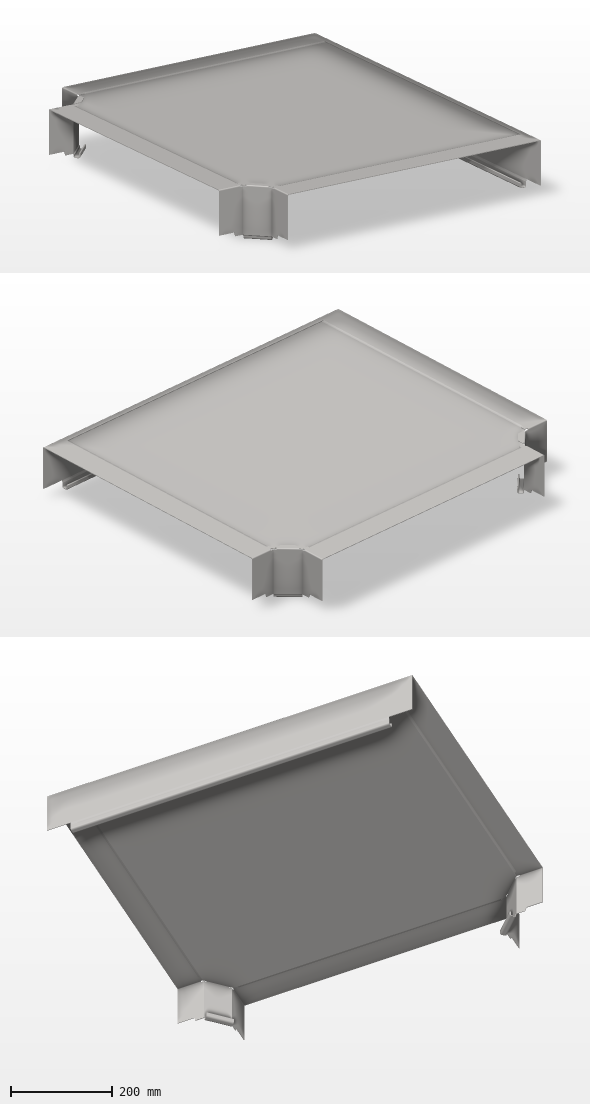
import cadquery as cq
import math

tray_length = 800.17
overall_depth = 702.33
cover_height = 113.0
sheet = 1.5
branch_length = 97.5

half_length = tray_length / 2
half_width = (overall_depth - branch_length) / 2
front_y = -half_width - branch_length
inner_face = half_width - sheet

lip_length = 51.5
joggle_length = 5.0
panel_half_length = half_length - lip_length - joggle_length
panel_front = front_y + lip_length + joggle_length

flange_width = 14.2
inner_bend_radius = 1.0
outer_bend_radius = inner_bend_radius + sheet
diagonal_span = 40.5
bend_position = half_width + diagonal_span
inner_bend_position = bend_position - sheet * math.tan(math.pi / 8)
diagonal_flange_inset = 20.5
relief_reach = 6.5
relief_depth = 3.0
relief_width = 3.0

panel_edge = inner_face - inner_bend_radius
panel_corner = bend_position - (half_width - panel_edge) * math.tan(math.pi / 8)

wall_height = 104.0
end_height = 95.5
step_start = 36.0
step_slant = 3.0

back_hook_inset = 51.0
hook_depth = 15.5
hook_lip_top = 101.5
hook_lip = 2 * sheet
hook_radius = 4.0

back_offset_height = 5.0
diagonal_offset_height = 2.0


def prism(points, bottom, top):
    """Upright prism between two heights."""
    return cq.Workplane("XY").workplane(offset=bottom).polyline(points).close().extrude(top - bottom)


def end_notch():
    """Region under the stepped wall end, along +X from the end and across Y = 0."""
    outline = [(0, -end_height), (step_start, -end_height), (step_start + step_slant, -wall_height),
               (step_start + step_slant, -cover_height), (0, -cover_height)]
    return cq.Workplane("XZ").polyline(outline).close().extrude(sheet * 2, both=True)


def hook(length, offset_top, offset_height):
    """Hook centred along X that leaves a wall face at Y = 0 and turns toward +Y."""
    offset_bottom = offset_top + offset_height
    floor = sheet - cover_height
    web_inner = 2 * sheet
    lip_inner = hook_depth - hook_lip
    lip_shoulder = -hook_lip_top - hook_lip / 2
    inner_radius = hook_radius - sheet
    section = (
        cq.Workplane("YZ").workplane(offset=-length / 2)
        .moveTo(0, -offset_top)
        .lineTo(sheet, -offset_bottom)
        .lineTo(sheet, hook_radius - cover_height)
        .radiusArc((sheet + hook_radius, -cover_height), -hook_radius)
        .lineTo(hook_depth - hook_radius, -cover_height)
        .radiusArc((hook_depth, hook_radius - cover_height), -hook_radius)
        .lineTo(hook_depth, lip_shoulder)
        .threePointArc((hook_depth - hook_lip / 2, -hook_lip_top), (lip_inner, lip_shoulder))
        .lineTo(lip_inner, floor + inner_radius)
        .radiusArc((lip_inner - inner_radius, floor), inner_radius)
        .lineTo(web_inner + inner_radius, floor)
        .radiusArc((web_inner, floor + inner_radius), inner_radius)
        .lineTo(web_inner, -offset_bottom)
        .lineTo(sheet, -offset_top)
        .close()
    )
    return section.extrude(length)


def lip(start, end, width):
    """Lip along +X from the edge of the flat panel, raised by one sheet and centred on Y = 0."""
    raised = start + joggle_length
    section = [(start, -sheet), (raised, 0), (end, 0), (end, -sheet), (raised, -sheet), (start, -2 * sheet)]
    return cq.Workplane("XZ").polyline(section).close().extrude(width / 2, both=True)


def corner_relief():
    """Cut along a straight wall on -X and a diagonal wall that meet in a bend at the origin."""
    mitre = relief_width * math.tan(math.pi / 8)
    diagonal_reach = relief_reach * math.sqrt(0.5)
    diagonal_width = relief_width * math.sqrt(0.5)
    outline = [
        (-relief_reach, 0), (0, 0), (diagonal_reach, -diagonal_reach),
        (diagonal_reach + diagonal_width, diagonal_width - diagonal_reach),
        (mitre, relief_width), (-relief_reach, relief_width),
    ]
    return prism(outline, -relief_depth, 0)


def make_panel():
    outline = [
        (-panel_half_length, panel_edge), (panel_half_length, panel_edge),
        (panel_half_length, -panel_edge), (panel_corner, -panel_edge),
        (panel_edge, -panel_corner), (panel_edge, panel_front),
        (-panel_edge, panel_front), (-panel_edge, -panel_corner),
        (-panel_corner, -panel_edge), (-panel_half_length, -panel_edge),
    ]
    panel = prism(outline, -2 * sheet, -sheet)
    lip_width = 2 * (half_width - flange_width)
    side_lip = lip(panel_half_length, half_length, lip_width)
    front_lip = lip(-panel_front, -front_y, lip_width).rotate((0, 0, 0), (0, 0, 1), -90)
    return panel.union(side_lip).union(side_lip.mirror("YZ")).union(front_lip)


def make_back_wall():
    wall = (
        cq.Workplane("XY")
        .box(tray_length, sheet, end_height, centered=(True, False, False))
        .translate((0, 0, -end_height))
    )
    flange = (
        cq.Workplane("XY")
        .box(tray_length, flange_width, sheet, centered=(True, False, False))
        .translate((0, 0, -sheet))
    )
    wall = wall.union(flange).edges("|X and <Y and >Z").fillet(outer_bend_radius)
    wall = wall.edges(cq.selectors.NearestToPointSelector((0, sheet, -sheet))).fillet(inner_bend_radius)
    wall = wall.union(hook(tray_length - 2 * back_hook_inset, end_height, back_offset_height))
    return wall.rotate((0, 0, 0), (0, 0, 1), 180).translate((0, half_width, 0))


def make_left_bracket():
    outer_path = [(-half_length, -half_width), (-bend_position, -half_width),
                  (-half_width, -bend_position), (-half_width, front_y)]
    inner_path = [(-half_length, -inner_face), (-inner_bend_position, -inner_face),
                  (-inner_face, -inner_bend_position), (-inner_face, front_y)]
    bracket = prism(outer_path + inner_path[::-1], -wall_height, 0)

    notch = end_notch()
    side_notch = notch.translate((-half_length, -half_width, 0))
    front_notch = notch.rotate((0, 0, 0), (0, 0, 1), 90).translate((-half_width, front_y, 0))
    bracket = bracket.cut(side_notch).cut(front_notch)

    flange_edge = half_width - flange_width
    side_flange = [(-half_length, -half_width), (-bend_position, -half_width),
                   (-bend_position, -flange_edge), (-half_length, -flange_edge)]
    front_flange = [(-half_width, front_y), (-flange_edge, front_y),
                    (-flange_edge, -bend_position), (-half_width, -bend_position)]
    diagonal_flange = [(-bend_position, -half_width), (-half_width, -bend_position),
                       (-half_width, diagonal_flange_inset - bend_position),
                       (diagonal_flange_inset - bend_position, -half_width)]
    for outline in (side_flange, front_flange, diagonal_flange):
        bracket = bracket.union(prism(outline, -sheet, 0))

    side_relief = corner_relief().translate((-bend_position, -half_width, 0))
    front_relief = side_relief.rotate((0, 0, 0), (1, 1, 0), 180).translate((0, 0, -relief_depth))
    bracket = bracket.cut(side_relief).cut(front_relief)

    middle = half_width + diagonal_span / 2
    side_middle = (-(half_length + bend_position) / 2, -half_width)
    front_middle = (-half_width, (front_y - bend_position) / 2)
    for (x, y), (inward_x, inward_y) in (
        (side_middle, (0, 1)),
        (front_middle, (1, 0)),
        ((-middle, -middle), (math.sqrt(0.5), math.sqrt(0.5))),
    ):
        outer_edge = cq.selectors.NearestToPointSelector((x, y, 0))
        bracket = bracket.edges(outer_edge).fillet(outer_bend_radius)
        inner_edge = cq.selectors.NearestToPointSelector((x + sheet * inward_x, y + sheet * inward_y, -sheet))
        bracket = bracket.edges(inner_edge).fillet(inner_bend_radius)

    diagonal_length = diagonal_span * math.sqrt(2)
    diagonal_hook = hook(diagonal_length, wall_height, diagonal_offset_height)
    diagonal_hook = diagonal_hook.rotate((0, 0, 0), (0, 0, 1), -45).translate((-middle, -middle, 0))
    return bracket.union(diagonal_hook)


panel = make_panel()
back_wall = make_back_wall()
left_bracket = make_left_bracket()
right_bracket = left_bracket.mirror("YZ")
result = cq.Compound.makeCompound([panel.val(), back_wall.val(), left_bracket.val(), right_bracket.val()])